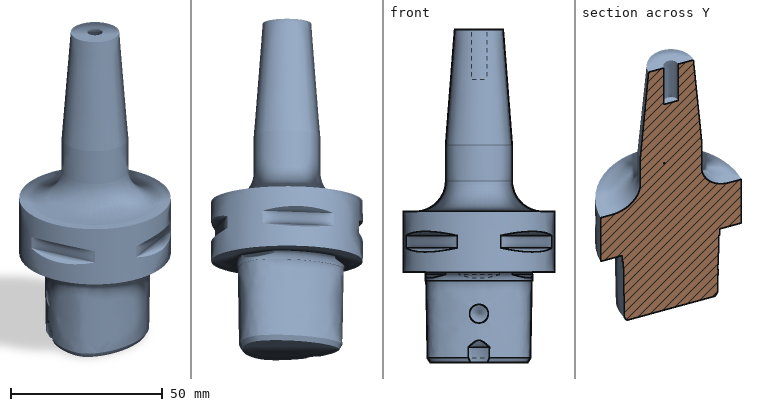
import cadquery as cq
import math

total_height = 110
shank_height = 29.9
flange_top = 49.9
neck_bottom = 60.0
neck_top = 71.8

flange_diameter = 50.0
flange_radius = flange_diameter / 2
neck_radius = 11
tip_radius = 8.0
flare_radius = neck_bottom - flange_top

collar_bottom = 27.1
collar_radius = 17.7
shank_top_radius = 17.5
shank_bottom_radius = 17.0
lobe_height = 1.26
bottom_chamfer_height = 1.6
bottom_chamfer_width = 1.0
lobe_angles = (90, 210, 330)
outline_steps = 72

relief_distance = 16.5
relief_wall_height = 0.8
relief_slope_height = 1.2
relief_slope_run = 2.5

groove_angles = (45, 135, 225, 315)
groove_distance = 22
groove_floor_height = 4.1
groove_mouth_height = 6.8
groove_z = 39.9

tip_hole_radius = 2.5
tip_hole_depth = 16.5
side_hole_radius = 3.1
side_hole_z = 16.2
side_hole_depth = 2.2
key_hole_radius = 4.1
key_hole_depth = 5.2
key_hole_y = -17.7
side_hole_point_angle = 59
key_hole_point_angle = 45


def turned_body():
    """Flange, flared neck and tapered nose, revolved about Z."""
    flare_mid = flare_radius * (1 - math.sqrt(0.5))
    return (
        cq.Workplane("XZ")
        .moveTo(0, shank_height)
        .lineTo(flange_radius, shank_height)
        .lineTo(flange_radius, flange_top)
        .lineTo(neck_radius + flare_radius, flange_top)
        .threePointArc(
            (neck_radius + flare_mid, flange_top + flare_mid),
            (neck_radius, neck_bottom),
        )
        .lineTo(neck_radius, neck_top)
        .lineTo(tip_radius, total_height)
        .lineTo(0, total_height)
        .close()
        .revolve(360, (0, 0, 0), (0, 1, 0))
    )


def lobed_wire(mean_radius, z):
    """Closed curve whose distance to its tangent line swells three times per turn."""
    points = []
    for step in range(outline_steps):
        angle = 2 * math.pi * step / outline_steps
        phase = 3 * (angle - math.pi / 2)
        reach = mean_radius + lobe_height * math.cos(phase)
        swell = -3 * lobe_height * math.sin(phase)
        x = reach * math.cos(angle) - swell * math.sin(angle)
        y = reach * math.sin(angle) + swell * math.cos(angle)
        points.append(cq.Vector(x, y, z))
    return cq.Wire.assembleEdges([cq.Edge.makeSpline(points, periodic=True)])


def lobed_section(bottom_radius, bottom_z, top_radius, top_z):
    wires = [lobed_wire(bottom_radius, bottom_z), lobed_wire(top_radius, top_z)]
    return cq.Workplane(cq.Solid.makeLoft(wires, True))


def shank():
    """Chamfered end, tapered length and straight collar, stacked along Z."""
    end_radius = shank_bottom_radius - bottom_chamfer_width
    chamfer = lobed_section(end_radius, 0, shank_bottom_radius, bottom_chamfer_height)
    taper = lobed_section(shank_bottom_radius, bottom_chamfer_height, shank_top_radius, collar_bottom)
    collar = lobed_section(collar_radius, collar_bottom, collar_radius, shank_height)
    return chamfer.union(taper).union(collar)


def lobe_relief(angle):
    """Flat-backed notch with a sloped lower face, across one lobe."""
    floor_z = shank_height - relief_wall_height
    outer = relief_distance + relief_slope_run
    return (
        cq.Workplane("XZ")
        .moveTo(relief_distance, shank_height)
        .lineTo(relief_distance, floor_z)
        .lineTo(outer, floor_z - relief_slope_height)
        .lineTo(flange_radius, floor_z - relief_slope_height)
        .lineTo(flange_radius, shank_height)
        .close()
        .extrude(flange_radius, both=True)
        .rotate((0, 0, 0), (0, 0, 1), angle)
    )


def gripper_groove(angle):
    """Flat-bottomed groove with flared sides, cut straight across the flange rim."""
    half_floor = groove_floor_height / 2
    half_mouth = groove_mouth_height / 2
    return (
        cq.Workplane("XZ")
        .moveTo(groove_distance, groove_z - half_floor)
        .lineTo(flange_radius, groove_z - half_mouth)
        .lineTo(flange_radius, groove_z + half_mouth)
        .lineTo(groove_distance, groove_z + half_floor)
        .close()
        .extrude(flange_radius, both=True)
        .rotate((0, 0, 0), (0, 0, 1), angle)
    )


def drilled_hole(radius, depth, half_angle, start, direction):
    """Round hole ending in a cone of the given half angle; depth excludes the cone."""
    start = cq.Vector(*start)
    direction = cq.Vector(*direction)
    point_depth = radius / math.tan(math.radians(half_angle))
    bore = cq.Solid.makeCylinder(radius, depth, start, direction)
    point = cq.Solid.makeCone(radius, 0, point_depth, start + direction * depth, direction)
    return cq.Workplane(bore).union(cq.Workplane(point))


result = turned_body().union(shank())

for lobe_angle in lobe_angles:
    result = result.cut(lobe_relief(lobe_angle))

for groove_angle in groove_angles:
    result = result.cut(gripper_groove(groove_angle))

tip_hole = cq.Workplane("XY", origin=(0, 0, total_height)).circle(tip_hole_radius).extrude(-tip_hole_depth)
side_hole = drilled_hole(
    side_hole_radius, side_hole_depth, side_hole_point_angle, (0, -collar_radius, side_hole_z), (0, 1, 0)
)
key_hole = drilled_hole(
    key_hole_radius, key_hole_depth, key_hole_point_angle, (0, key_hole_y, 0), (0, 0, 1)
)
result = result.cut(tip_hole).cut(side_hole).cut(key_hole)